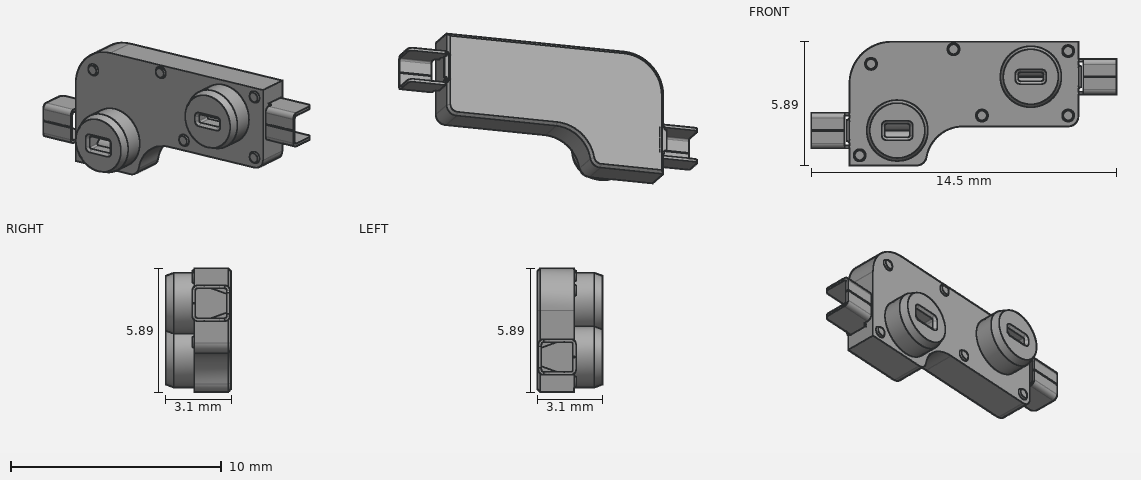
import cadquery as cq
import math


OVERALL_LENGTH = 14.5

HOUSING_LENGTH = 10.88
HOUSING_HEIGHT = 5.89
HOUSING_DEPTH = 1.75
STEP_HEIGHT = 1.85
BIG_CORNER_RADIUS = 2.0
SMALL_CORNER_RADIUS = 0.5
STEP_RADIUS = 1.75
STEP_ARC_X = 5.4
BACK_CHAMFER = 0.15

LEFT_BOSS = (2.28, 1.67)
RIGHT_BOSS = (8.61, 4.22)
BOSS_RADIUS = 1.45
BOSS_TIP_RADIUS = 1.3
BOSS_LENGTH = 1.35
BOSS_TIP_LENGTH = 0.39

SLOT_WIDTH = 1.48
LEFT_SLOT_HEIGHT = 0.91
RIGHT_SLOT_HEIGHT = 0.7
SLOT_CORNER_RADIUS = 0.23
SLOT_CHAMFER = 0.15
SLOT_DEPTH = 1.16
LIP_RADIUS = 0.48
LIP_GAP = 0.05

STAKE_CENTRES = [(1.03, 4.83), (4.95, 5.52), (10.38, 5.44), (6.3, 2.38), (10.38, 2.38), (0.5, 0.5)]
STAKE_RADIUS = 0.29
STAKE_TIP_RADIUS = 0.23
STAKE_HEIGHT = 0.09

SHEET = 0.15
CONTACT_HEIGHT = 1.7
CONTACT_FRONT = -0.09
CONTACT_BACK = 1.7
CONTACT_REACH = (OVERALL_LENGTH - HOUSING_LENGTH) / 2
CONTACT_INSERTION = 0.22
BEND_RADIUS = 0.25
SEAM_GAP = 0.05
SIDE_WALL_BACK = 1.45
SIDE_CORNER_RADIUS = 0.25
NOTCH_LENGTH = 0.22
NOTCH_BACK = 0.48
NOTCH_RADIUS = 0.17
TAB_REACH = 0.13
TAB_HEIGHT = 1.02
TAB_ROOT_RADIUS = 0.1

CORNER_POCKET_LENGTH = 0.72
CORNER_POCKET_HEIGHT = 0.26
CORNER_POCKET_DEPTH = 0.15

CONTACT_PLACES = [(LEFT_BOSS[1], False), (RIGHT_BOSS[1], True)]


def box(x_range, y_range, z_range):
    """Box between two values along each axis."""
    (x0, x1), (y0, y1), (z0, z1) = x_range, y_range, z_range
    return cq.Workplane("XY").box(x1 - x0, y1 - y0, z1 - z0, centered=False).translate((x0, y0, z0))


def facing_front(centre, y=0.0):
    """Workplane at (x, z) whose normal points to -Y, with local x along X and local y along Z."""
    return cq.Workplane("XZ", origin=(centre[0], y, centre[1]))


def frustum(centre, y, base_radius, tip_radius, length):
    """Cone stub that starts at y and points to -Y."""
    x, z = centre
    start = cq.Vector(x, y, z)
    return cq.Workplane(cq.Solid.makeCone(base_radius, tip_radius, length, start, cq.Vector(0, -1, 0)))


def plate():
    """S-shaped housing plate, chamfered around its back face."""
    step_arc_z = STEP_HEIGHT - STEP_RADIUS
    foot_z = SMALL_CORNER_RADIUS
    centre_distance = STEP_RADIUS + SMALL_CORNER_RADIUS
    foot_x = STEP_ARC_X - math.sqrt(centre_distance**2 - (foot_z - step_arc_z) ** 2)
    joint_angle = math.atan2(foot_z - step_arc_z, foot_x - STEP_ARC_X)
    joint = (
        STEP_ARC_X + STEP_RADIUS * math.cos(joint_angle),
        step_arc_z + STEP_RADIUS * math.sin(joint_angle),
    )
    foot_middle_angle = (joint_angle - math.pi - math.pi / 2) / 2
    foot_middle = (
        foot_x + SMALL_CORNER_RADIUS * math.cos(foot_middle_angle),
        foot_z + SMALL_CORNER_RADIUS * math.sin(foot_middle_angle),
    )
    step_middle_angle = (joint_angle + math.pi / 2) / 2
    step_middle = (
        STEP_ARC_X + STEP_RADIUS * math.cos(step_middle_angle),
        step_arc_z + STEP_RADIUS * math.sin(step_middle_angle),
    )
    return (
        cq.Workplane("XZ")
        .moveTo(0, 0)
        .lineTo(foot_x, 0)
        .threePointArc(foot_middle, joint)
        .threePointArc(step_middle, (STEP_ARC_X, STEP_HEIGHT))
        .lineTo(HOUSING_LENGTH - SMALL_CORNER_RADIUS, STEP_HEIGHT)
        .tangentArcPoint((SMALL_CORNER_RADIUS, SMALL_CORNER_RADIUS))
        .lineTo(HOUSING_LENGTH, HOUSING_HEIGHT)
        .lineTo(BIG_CORNER_RADIUS, HOUSING_HEIGHT)
        .tangentArcPoint((-BIG_CORNER_RADIUS, -BIG_CORNER_RADIUS))
        .close()
        .extrude(-HOUSING_DEPTH)
        .faces(">Y")
        .chamfer(BACK_CHAMFER)
    )


def boss(centre):
    barrel_length = BOSS_LENGTH - BOSS_TIP_LENGTH
    barrel = facing_front(centre).circle(BOSS_RADIUS).extrude(barrel_length)
    return barrel.union(frustum(centre, -barrel_length, BOSS_RADIUS, BOSS_TIP_RADIUS, BOSS_TIP_LENGTH))


def slot(centre, height):
    """Slot volume: chamfered mouth, then a window that two rounded lips narrow to a thin gap."""
    mouth_y = -BOSS_LENGTH
    floor_y = mouth_y + SLOT_DEPTH
    mouth_outline = cq.Sketch().rect(SLOT_WIDTH, height).vertices().fillet(SLOT_CORNER_RADIUS)
    mouth = facing_front(centre, mouth_y).placeSketch(mouth_outline).extrude(-SLOT_CHAMFER, taper=45)
    window_width = SLOT_WIDTH - 2 * SLOT_CHAMFER
    window_height = height - 2 * SLOT_CHAMFER
    window_outline = cq.Sketch().rect(window_width, window_height)
    window_outline = window_outline.vertices().fillet(SLOT_CORNER_RADIUS - SLOT_CHAMFER)
    window = facing_front(centre, mouth_y).placeSketch(window_outline).extrude(-SLOT_DEPTH)
    lip_offset = LIP_GAP / 2 + LIP_RADIUS
    lips = (
        cq.Workplane("YZ", origin=(centre[0], floor_y, centre[1]))
        .pushPoints([(0, lip_offset), (0, -lip_offset)])
        .circle(LIP_RADIUS)
        .extrude(SLOT_WIDTH / 2, both=True)
    )
    return window.cut(lips).union(mouth)


def at_end(shape, z, right_end):
    """Move a shape made for the right end, outward along +X from X = 0, to either housing end."""
    if right_end:
        return shape.translate((HOUSING_LENGTH, 0, z))
    return shape.mirror("YZ").translate((0, 0, z))


def contact(z, right_end):
    """Folded sheet channel with its seam at the front and its rear open outside the housing."""
    half_height = CONTACT_HEIGHT / 2
    inner_half = half_height - SHEET
    x_range = (-CONTACT_INSERTION, CONTACT_REACH)
    y_range = (CONTACT_FRONT, CONTACT_BACK)
    z_range = (-half_height, half_height)

    outside = box(x_range, y_range, z_range).edges("|X").fillet(BEND_RADIUS)
    inside = box(x_range, (CONTACT_FRONT + SHEET, CONTACT_BACK - SHEET), (-inner_half, inner_half))
    tube = outside.cut(inside.edges("|X").fillet(BEND_RADIUS - SHEET))

    seam = box(x_range, (CONTACT_FRONT, CONTACT_FRONT + SHEET), (-SEAM_GAP / 2, SEAM_GAP / 2))
    notch = box((-CONTACT_INSERTION, NOTCH_LENGTH), (CONTACT_FRONT, NOTCH_BACK), z_range)
    notch = notch.edges(">X and >Y").fillet(NOTCH_RADIUS)

    side_walls = box(x_range, (CONTACT_FRONT, SIDE_WALL_BACK), z_range)
    side_walls = side_walls.edges(">X and >Y").fillet(SIDE_CORNER_RADIUS)
    inserted = box((-CONTACT_INSERTION, 0), y_range, z_range)
    tab = box((-CONTACT_INSERTION, TAB_REACH), y_range, (-TAB_HEIGHT / 2, TAB_HEIGHT / 2))
    tab_roots = cq.selectors.BoxSelector(
        (-SHEET / 2, CONTACT_FRONT, -inner_half),
        (SHEET / 2, CONTACT_BACK, inner_half),
    )
    inserted_with_tab = inserted.union(tab).edges("|Y").edges(tab_roots).fillet(TAB_ROOT_RADIUS)

    shell = tube.intersect(side_walls.union(inserted_with_tab)).cut(seam).cut(notch)
    return at_end(shell, z, right_end)


def corner_pockets(z, right_end):
    """Two triangular prisms cut into the housing end where the contact's rear corners are."""
    y = CONTACT_BACK - SHEET
    top = CONTACT_HEIGHT / 2 - SHEET
    upper = (
        cq.Workplane("YZ")
        .polyline([(y, top), (y - CORNER_POCKET_LENGTH, top), (y, top - CORNER_POCKET_HEIGHT)])
        .close()
        .extrude(-CORNER_POCKET_DEPTH)
    )
    return at_end(upper.union(upper.mirror("XY")), z, right_end)


def housing(contacts):
    body = plate()
    for centre, slot_height in ((LEFT_BOSS, LEFT_SLOT_HEIGHT), (RIGHT_BOSS, RIGHT_SLOT_HEIGHT)):
        body = body.union(boss(centre)).cut(slot(centre, slot_height))
    for centre in STAKE_CENTRES:
        body = body.union(frustum(centre, 0, STAKE_RADIUS, STAKE_TIP_RADIUS, STAKE_HEIGHT))
    for z, right_end in CONTACT_PLACES:
        body = body.cut(corner_pockets(z, right_end))
    for part in contacts:
        body = body.cut(part)
    return body


contact_bodies = [contact(z, right_end) for z, right_end in CONTACT_PLACES]
housing_body = housing(contact_bodies)

result = cq.Compound.makeCompound([housing_body.val(), *[part.val() for part in contact_bodies]])